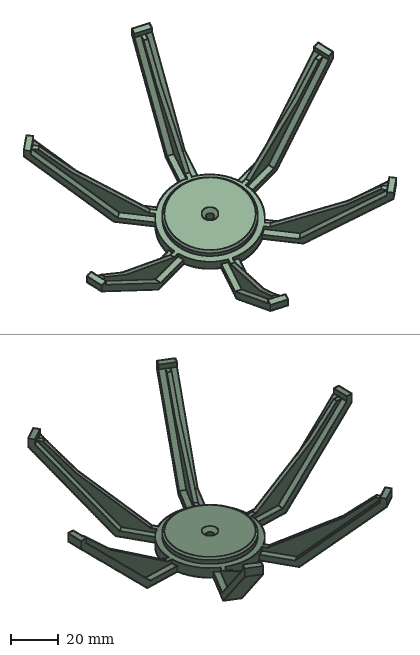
import cadquery as cq

tip_radius = 78.0
total_height = 42.3

hub_radius = 23.0
hub_height = 5.0
boss_radius = 20.0
boss_top = 8.0
boss_chamfer = 1.0

hole_diameter = 3.5
sink_diameter = 7.0
sink_depth = (sink_diameter - hole_diameter) / 2

arm_count = 6
first_arm_angle = 90
arm_width = 8.0
foot_thickness = 3.0
lip_thickness = 3.0
lip_height = 2.5
bend_radius = 40.0

rib_width = 2.0
rib_foot_radius = 25.5
rib_knee_radius = 57.9
rib_knee_height = 26.5
rib_top_radius = 72.2

lip_bottom = tip_radius - bend_radius
ledge_radius = tip_radius - lip_thickness
ledge_height = total_height - lip_height
inner_bend_radius = ledge_radius - (ledge_height - foot_thickness)

arm_start = hub_radius / 2


def make_hub():
    disc = cq.Workplane("XY").circle(hub_radius).extrude(hub_height)
    boss = (
        cq.Workplane("XY")
        .circle(boss_radius)
        .extrude(boss_top)
        .faces(">Z")
        .chamfer(boss_chamfer)
    )
    return disc.union(boss)


def extrude_profile(points, width):
    """Extrude a (radius, height) outline evenly to both sides of the XZ plane."""
    return cq.Workplane("XZ").polyline(points).close().extrude(width / 2, both=True)


def make_arm():
    strip = extrude_profile(
        [
            (arm_start, 0),
            (bend_radius, 0),
            (tip_radius, lip_bottom),
            (tip_radius, total_height),
            (ledge_radius, total_height),
            (ledge_radius, ledge_height),
            (inner_bend_radius, foot_thickness),
            (arm_start, foot_thickness),
        ],
        arm_width,
    )
    rib = extrude_profile(
        [
            (arm_start, 0),
            (bend_radius, 0),
            (ledge_radius, ledge_height),
            (rib_top_radius, ledge_height),
            (rib_knee_radius, rib_knee_height),
            (rib_foot_radius, hub_height),
            (arm_start, hub_height),
        ],
        rib_width,
    )
    return strip.union(rib)


def make_screw_hole():
    """Through hole with a conical sink opening at the top of the boss."""
    shaft = cq.Workplane("XY").circle(hole_diameter / 2).extrude(boss_top)
    sink = (
        cq.Workplane("XY")
        .workplane(offset=boss_top - sink_depth)
        .circle(hole_diameter / 2)
        .workplane(offset=sink_depth)
        .circle(sink_diameter / 2)
        .loft()
    )
    return shaft.union(sink)


result = make_hub()
arm = make_arm()
for index in range(arm_count):
    angle = first_arm_angle + index * 360 / arm_count
    result = result.union(arm.rotate((0, 0, 0), (0, 0, 1), angle))
result = result.cut(make_screw_hole())